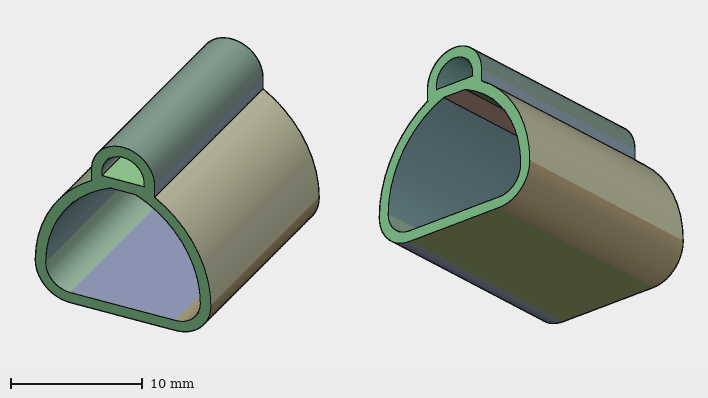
import cadquery as cq
import math

length = 18.0
width = 15.0
height = 15.0
wall = 0.9

corner_radius = 3.0
side_radius = 9.6

loop_radius = 2.7
loop_floor_z = 12.0
loop_center_z = height - loop_radius
tube_ceiling_z = loop_floor_z - wall


def extrude_along_y(profile):
    """Extrude an XZ profile over the full length, centred on Y = 0."""
    return profile.extrude(length / 2, both=True)


def dome_half_width(radius, z):
    """Half-width of a domed side of the given radius at height z."""
    center_x = width / 2 - side_radius
    return center_x + math.sqrt(radius**2 - (z - corner_radius) ** 2)


def tube_prism(inset, top_z):
    """Solid tube outline, moved inwards by inset and cut flat at top_z."""
    half_width = width / 2 - inset
    radius = side_radius - inset
    corner = corner_radius - inset
    flat_x = width / 2 - corner_radius
    diagonal = corner * math.sqrt(0.5)
    corner_mid = (flat_x + diagonal, corner_radius - diagonal)
    top_x = dome_half_width(radius, top_z)
    mid_z = (corner_radius + top_z) / 2
    mid_x = dome_half_width(radius, mid_z)
    profile = (
        cq.Workplane("XZ")
        .moveTo(-flat_x, inset)
        .lineTo(flat_x, inset)
        .threePointArc(corner_mid, (half_width, corner_radius))
        .threePointArc((mid_x, mid_z), (top_x, top_z))
        .lineTo(-top_x, top_z)
        .threePointArc((-mid_x, mid_z), (-half_width, corner_radius))
        .threePointArc((-corner_mid[0], corner_mid[1]), (-flat_x, inset))
        .close()
    )
    return extrude_along_y(profile)


def arch_prism(radius, floor_z):
    """Solid arch: straight sides from floor_z, closed by a half circle."""
    profile = (
        cq.Workplane("XZ")
        .moveTo(-radius, floor_z)
        .lineTo(radius, floor_z)
        .lineTo(radius, loop_center_z)
        .threePointArc((0, loop_center_z + radius), (-radius, loop_center_z))
        .close()
    )
    return extrude_along_y(profile)


outer = tube_prism(0, loop_floor_z).union(arch_prism(loop_radius, tube_ceiling_z))
tube_bore = tube_prism(wall, tube_ceiling_z)
loop_bore = arch_prism(loop_radius - wall, loop_floor_z)

result = outer.cut(tube_bore).cut(loop_bore)